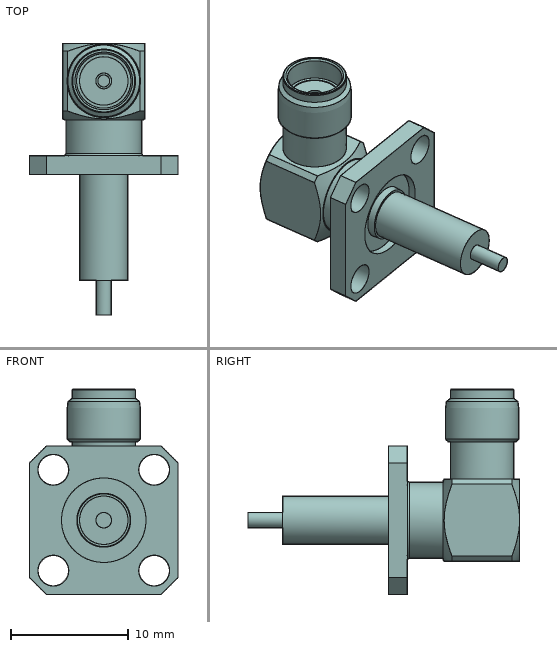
import cadquery as cq
import math


flange_side = 12.7
flange_thickness = 1.62
flange_corner_chamfer = 1.45
bolt_hole_diameter = 2.6
bolt_spacing = 8.6
recess_diameter = 7.22
recess_depth = 0.65
ring_base_radius = 2.3
ring_face_radius = 2.25

dielectric_diameter = 4.13
dielectric_length = 9.02
pin_diameter = 1.32
pin_tip = 12.0

total_length = 23.2
body_rear = total_length - pin_tip
body_length = 6.55
body_front = body_rear - body_length
barrel_radius = 3.25
barrel_foot_radius = 3.35
barrel_foot_length = 0.19

body_width = 7.03
body_edge_chamfer = 0.45
end_cone_angle = 30
front_cone_radius = 3.35
rear_cone_radius = body_width / 2

connector_y = 8.0
overall_height = 17.55
connector_top = overall_height - flange_side / 2
neck_radius = 2.71
rim_chamfer = 0.07
collar_radius = 3.13
collar_shoulder_radius = 3.06
collar_lower_radius = 2.9
collar_top = connector_top - 0.8
collar_shoulder = connector_top - 1.07
collar_taper_end = connector_top - 1.62
collar_edge = connector_top - 4.27
collar_bottom = connector_top - 4.5

mouth_radius = 2.32
mouth_chamfer = 0.15
mouth_depth = 1.97
mouth_step_depth = 0.07
socket_radius = 0.5
socket_mouth_radius = 0.67
socket_mouth_depth = 0.23
socket_depth = 1.85


def cylinder_y(diameter, start, end):
    """Cylinder on the flange axis between two Y positions."""
    base = cq.Workplane("XZ", origin=(0, start, 0))
    return base.circle(diameter / 2).extrude(start - end)


def revolve_y(profile):
    """Revolve (radius, y) points around the flange axis."""
    return cq.Workplane("XY").polyline(profile).close().revolve(360, (0, 0), (0, 1))


def revolve_connector(profile):
    """Revolve (radius, z) points around the vertical connector axis."""
    plane = cq.Workplane("XZ", origin=(0, connector_y, 0))
    return plane.polyline(profile).close().revolve(360, (0, 0), (0, 1))


def make_flange():
    plate = (
        cq.Workplane("XZ")
        .rect(flange_side, flange_side)
        .extrude(-flange_thickness)
        .edges("|Y")
        .chamfer(flange_corner_chamfer)
    )
    holes = (
        cq.Workplane("XZ")
        .rect(bolt_spacing, bolt_spacing, forConstruction=True)
        .vertices()
        .circle(bolt_hole_diameter / 2)
        .extrude(-flange_thickness)
    )
    recess = cylinder_y(recess_diameter, 0, recess_depth)
    ring = revolve_y([
        (0, 0),
        (ring_face_radius, 0),
        (ring_base_radius, recess_depth),
        (0, recess_depth),
    ])
    return plate.cut(holes).cut(recess).union(ring)


def make_barrel():
    return revolve_y([
        (0, flange_thickness),
        (barrel_foot_radius, flange_thickness),
        (barrel_radius, flange_thickness + barrel_foot_length),
        (barrel_radius, body_front),
        (0, body_front),
    ])


def make_body():
    block = (
        cq.Workplane("XZ", origin=(0, body_front, 0))
        .rect(body_width, body_width)
        .extrude(-body_length)
        .edges("|Y")
        .chamfer(body_edge_chamfer)
    )
    outer_radius = body_width
    slope = math.tan(math.radians(end_cone_angle))
    front_drop = (outer_radius - front_cone_radius) * slope
    rear_drop = (outer_radius - rear_cone_radius) * slope
    envelope = revolve_y([
        (0, body_front),
        (front_cone_radius, body_front),
        (outer_radius, body_front + front_drop),
        (outer_radius, body_rear - rear_drop),
        (rear_cone_radius, body_rear),
        (0, body_rear),
    ])
    return block.intersect(envelope)


def make_connector():
    return revolve_connector([
        (0, 0),
        (neck_radius, 0),
        (neck_radius, collar_bottom),
        (collar_lower_radius, collar_bottom),
        (collar_radius, collar_edge),
        (collar_radius, collar_taper_end),
        (collar_shoulder_radius, collar_shoulder),
        (neck_radius, collar_top),
        (neck_radius, connector_top - rim_chamfer),
        (neck_radius - rim_chamfer, connector_top),
        (0, connector_top),
    ])


def make_mouth():
    floor = connector_top - mouth_depth
    inner_floor = floor - mouth_step_depth
    return revolve_connector([
        (0, inner_floor - socket_depth),
        (socket_radius, inner_floor - socket_depth),
        (socket_radius, inner_floor - socket_mouth_depth),
        (socket_mouth_radius, inner_floor - socket_mouth_depth),
        (socket_mouth_radius, inner_floor),
        (dielectric_diameter / 2, inner_floor),
        (dielectric_diameter / 2, floor),
        (mouth_radius, floor),
        (mouth_radius, connector_top - mouth_chamfer),
        (mouth_radius + mouth_chamfer, connector_top),
        (0, connector_top),
    ])


dielectric = cylinder_y(dielectric_diameter, flange_thickness, -dielectric_length)
pin = cylinder_y(pin_diameter, flange_thickness, -pin_tip)

result = (
    make_flange()
    .union(make_barrel())
    .union(make_body())
    .union(make_connector())
    .cut(make_mouth())
    .union(dielectric)
    .union(pin)
)